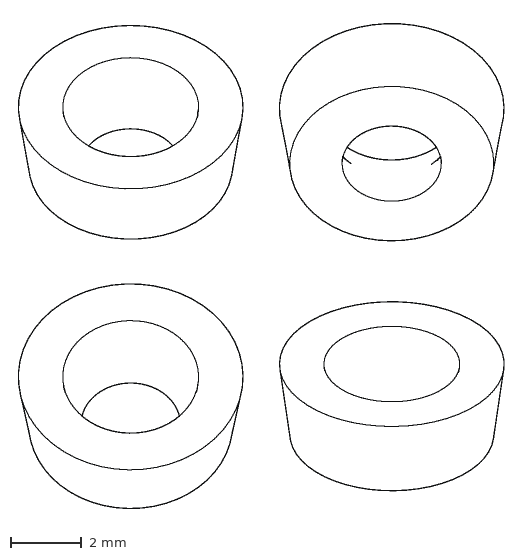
import cadquery as cq
import math

top_diameter = 6.35
height = 2.38
relief_angle = 7.0
top_radius = top_diameter / 2
bottom_radius = top_radius - height * math.tan(math.radians(relief_angle))

recess_radius = 1.92
recess_floor_radius = 1.885
recess_depth = 0.55
seat_radius = 1.84
seat_depth = 0.7
bore_radius = 2.8 / 2
bore_depth = 2.08

recess_floor = height - recess_depth
seat_top = height - seat_depth
bore_top = height - bore_depth

seat_inset = seat_radius - bore_radius
seat_drop = seat_top - bore_top
seat_arc_radius = (seat_inset**2 + seat_drop**2) / (2 * seat_inset)
half_sweep = math.asin(seat_drop / seat_arc_radius) / 2
seat_middle = (
    bore_radius + seat_arc_radius * (1 - math.cos(half_sweep)),
    bore_top + seat_arc_radius * math.sin(half_sweep),
)

section = (
    cq.Workplane("XZ")
    .moveTo(bore_radius, 0)
    .lineTo(bottom_radius, 0)
    .lineTo(top_radius, height)
    .lineTo(recess_radius, height)
    .lineTo(recess_floor_radius, recess_floor)
    .tangentArcPoint((seat_radius, seat_top), relative=False)
    .threePointArc(seat_middle, (bore_radius, bore_top))
    .close()
)

result = section.revolve(360, (0, 0, 0), (0, 1, 0))